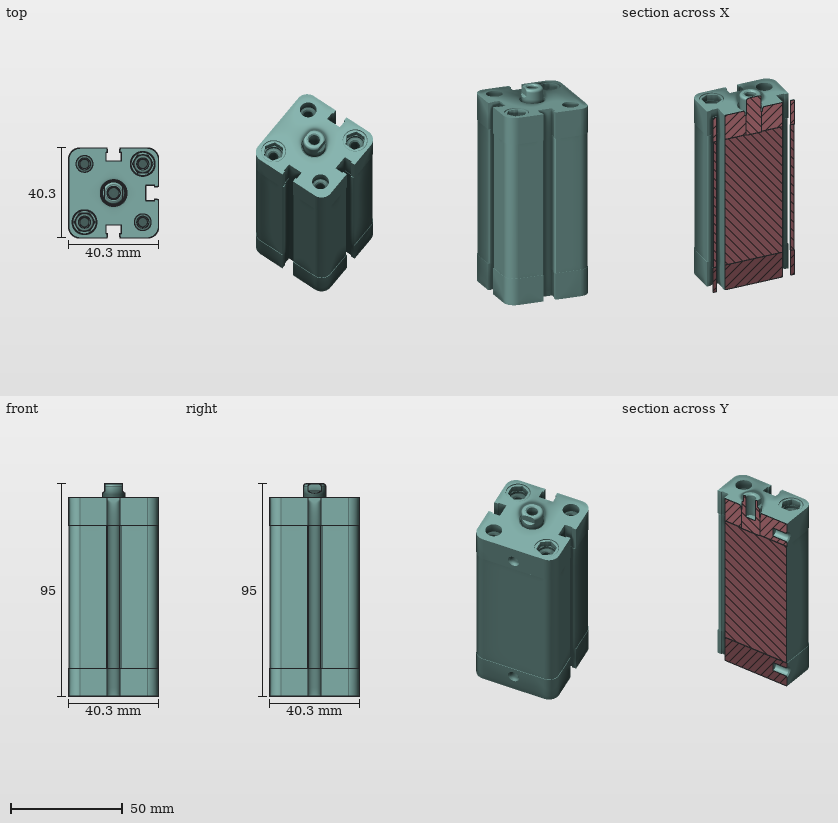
import cadquery as cq
import math

rod_tip_z = 95.0
top_face_z = 88.9
cap_height = 12.5
seam_low_z = cap_height
seam_high_z = top_face_z - cap_height

cap_side = 40.3
barrel_side = 39.9
cap_corner_radius = 5.0
barrel_inset = (cap_side - barrel_side) / 2
barrel_corner_radius = cap_corner_radius - barrel_inset

slot_floor = cap_side / 2 - 5.8
slot_lip_depth = 2.0
cap_mouth_width = 5.9
cap_slot_width = 7.0
barrel_mouth_width = 5.3
barrel_slot_width = 6.65
mouth_chamfer = 0.6
slot_angles = (-90, 0, 90)

corner_offset = 13.0
thread_diameter = 4.2
thread_chamfer_diameter = 5.4
corner_recess_diameter = 7.5
recess_depth = 4.6
head_diameter = 11.1
head_flat_diameter = 10.45
head_height = 5.7
shank_diameter = corner_recess_diameter
head_sink = 0.3
socket_mouth_diameter = 8.3
socket_bore_diameter = 8.0
hexagon_flats = 8.1
hexagon_corner_diameter = hexagon_flats / math.cos(math.pi / 6)
hexagon_depth = 3.2

port_depth = 7.6
port_drop = 7.6
port_rise = 7.7

rod_diameter = 10.0
rod_tip_radius = 1.2
rod_thread_diameter = 4.9
rod_thread_chamfer_diameter = 6.0
rod_thread_depth = 11.4
flat_width = 8.0
flat_length = 3.3
flat_ramp_drop = 0.95
wiper_diameter = 12.0
wiper_floor_diameter = 11.4
wiper_depth = 0.5
rod_clearance_diameter = 10.45
rod_clearance_mouth_diameter = 10.9
rod_clearance_depth = 1.9

screw_points = [(corner_offset, corner_offset), (-corner_offset, -corner_offset)]
recess_points = [(-corner_offset, corner_offset), (corner_offset, -corner_offset)]


def rounded_block(side, radius, bottom_z, top_z):
    block = cq.Workplane("XY", origin=(0, 0, bottom_z)).rect(side, side).extrude(top_z - bottom_z)
    return block.edges("|Z").fillet(radius)


def cylinder(diameter, bottom_z, top_z):
    return cq.Workplane("XY", origin=(0, 0, bottom_z)).circle(diameter / 2).extrude(top_z - bottom_z)


def chamfered_hole(diameter, mouth_diameter, depth):
    """Cutter for a hole that opens upward at the origin with a 45 degree chamfer."""
    radius = diameter / 2
    mouth_radius = mouth_diameter / 2
    profile = cq.Workplane("XZ").polyline([
        (0, 0),
        (mouth_radius, 0),
        (radius, radius - mouth_radius),
        (radius, -depth),
        (0, -depth),
    ]).close()
    return profile.revolve(360, (0, 0, 0), (0, 1, 0))


def cut_slots(body, side, mouth_width, slot_width, chamfer):
    """Cut the T-shaped slots, whose mouth edges may be chamfered, into three faces."""
    face = side / 2
    lip = cap_side / 2 - slot_lip_depth
    half_mouth = mouth_width / 2
    half_slot = slot_width / 2
    half_outline = [(face, half_mouth + chamfer)]
    if chamfer:
        half_outline.append((face - chamfer, half_mouth))
    half_outline += [(lip, half_mouth), (lip, half_slot), (slot_floor, half_slot)]
    mirrored = [(x, -y) for x, y in reversed(half_outline)]
    slot = cq.Workplane("XY").polyline(half_outline + mirrored).close().extrude(rod_tip_z)
    for angle in slot_angles:
        body = body.cut(slot.rotate((0, 0, 0), (0, 0, 1), angle))
    return body


def make_cap(bottom_z, port_z):
    """Square end cap with sensor slots and one air port."""
    cap = rounded_block(cap_side, cap_corner_radius, bottom_z, bottom_z + cap_height)
    cap = cut_slots(cap, cap_side, cap_mouth_width, cap_slot_width, 0)
    port = chamfered_hole(thread_diameter, thread_chamfer_diameter, port_depth)
    port = port.rotate((0, 0, 0), (0, 1, 0), -90).translate((-cap_side / 2, 0, port_z))
    return cap.cut(port)


def make_top_cap():
    cap = make_cap(seam_high_z, top_face_z - port_drop)

    cap = cap.cut(cylinder(rod_diameter, seam_high_z, top_face_z))
    wiper_recess = chamfered_hole(wiper_floor_diameter, wiper_diameter, wiper_depth)
    clearance = chamfered_hole(rod_clearance_diameter, rod_clearance_mouth_diameter, rod_clearance_depth)
    cap = cap.cut(wiper_recess.translate((0, 0, top_face_z)))
    cap = cap.cut(clearance.translate((0, 0, top_face_z - wiper_depth)))

    seat = cylinder(head_diameter, top_face_z - head_height, top_face_z)
    seat = seat.union(cylinder(shank_diameter, seam_high_z, top_face_z))
    for x, y in screw_points:
        cap = cap.cut(seat.translate((x, y, 0)))

    recess_floor_z = top_face_z - recess_depth
    thread = chamfered_hole(thread_diameter, thread_chamfer_diameter, recess_floor_z - seam_high_z)
    hole = thread.translate((0, 0, recess_floor_z))
    hole = hole.union(cylinder(corner_recess_diameter, recess_floor_z, top_face_z))
    for x, y in recess_points:
        cap = cap.cut(hole.translate((x, y, 0)))
    return cap


def make_barrel():
    barrel = rounded_block(barrel_side, barrel_corner_radius, seam_low_z, seam_high_z)
    return cut_slots(barrel, barrel_side, barrel_mouth_width, barrel_slot_width, mouth_chamfer)


def make_screw():
    """Slightly sunk screw with a hexagon socket and a threaded hole through its shank."""
    head_chamfer = (head_diameter - head_flat_diameter) / 2
    head_face_z = top_face_z - head_sink
    head = cylinder(head_diameter, top_face_z - head_height, head_face_z)
    head = head.faces(">Z").edges().chamfer(head_chamfer)
    screw = head.union(cylinder(shank_diameter, seam_high_z, top_face_z - head_height))

    hexagon = cq.Workplane("XY", origin=(0, 0, top_face_z - hexagon_depth))
    hexagon = hexagon.polygon(6, hexagon_corner_diameter).extrude(hexagon_depth)
    socket_floor_z = top_face_z - recess_depth
    mouth = cylinder(socket_mouth_diameter, top_face_z - hexagon_depth, top_face_z)
    socket = hexagon.union(mouth).union(cylinder(socket_bore_diameter, socket_floor_z, top_face_z))
    thread = chamfered_hole(thread_diameter, thread_chamfer_diameter, socket_floor_z - seam_high_z)
    return screw.cut(socket).cut(thread.translate((0, 0, socket_floor_z)))


def make_rod():
    rod = cylinder(rod_diameter, seam_high_z, rod_tip_z)
    rod = rod.faces(">Z").edges().fillet(rod_tip_radius)
    thread = chamfered_hole(rod_thread_diameter, rod_thread_chamfer_diameter, rod_thread_depth)
    rod = rod.cut(thread.translate((0, 0, rod_tip_z)))

    flat_x = flat_width / 2
    rod_x = rod_diameter / 2
    shoulder_z = rod_tip_z - flat_length
    flat_cutter = cq.Workplane("XZ").polyline([
        (flat_x, rod_tip_z),
        (flat_x, shoulder_z),
        (rod_x, shoulder_z - flat_ramp_drop),
        (rod_x, rod_tip_z),
    ]).close().extrude(rod_x, both=True)
    return rod.cut(flat_cutter).cut(flat_cutter.mirror("YZ"))


top_cap = make_top_cap()
barrel = make_barrel()
bottom_cap = make_cap(0, port_rise)
rod = make_rod()
screws = [make_screw().translate((x, y, 0)) for x, y in screw_points]

result = cq.Compound.makeCompound([
    top_cap.val(),
    barrel.val(),
    bottom_cap.val(),
    rod.val(),
    *[screw.val() for screw in screws],
])